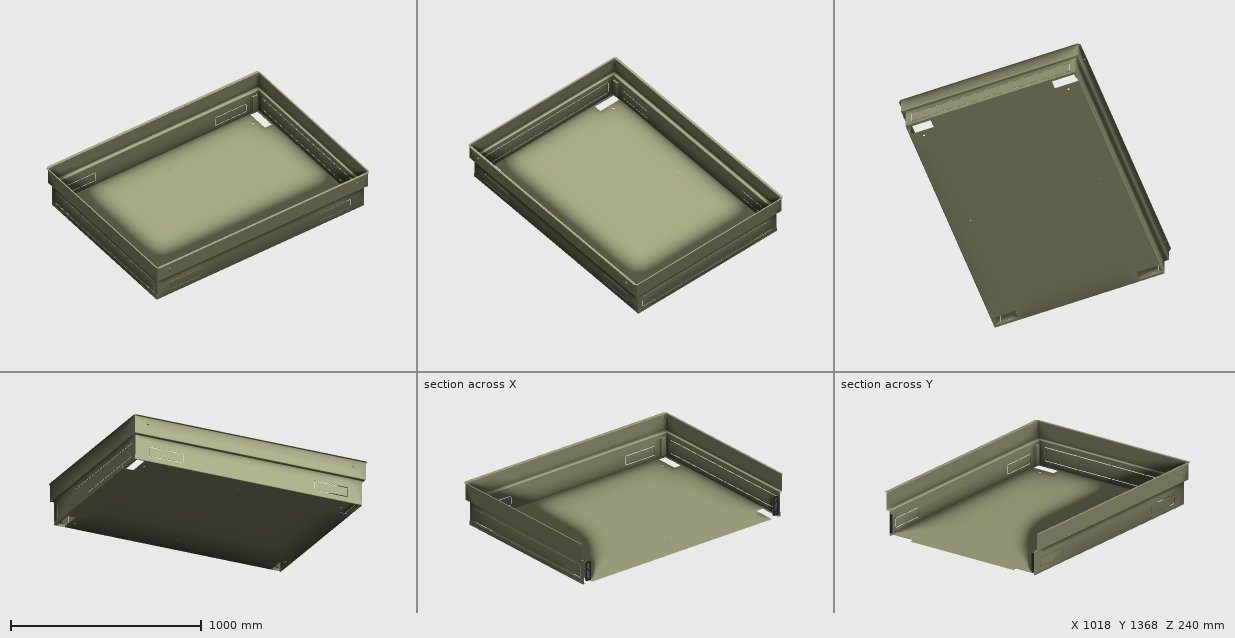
import cadquery as cq
SHEET = 1.9
INNER_BEND = 2.0
OUTER_BEND = INNER_BEND + SHEET
HEIGHT = 240.0
RIM_X, RIM_Y = 509.0, 684.0
UPPER_X, UPPER_Y = 496.0, 677.0
LOWER_X, LOWER_Y = 476.0, 663.0
SHELF_Z = 140.0
RIM_CORNER = 11.6

UPPER_IN_X, UPPER_IN_Y = UPPER_X - SHEET, UPPER_Y - SHEET
LOWER_IN_X, LOWER_IN_Y = LOWER_X - SHEET, LOWER_Y - SHEET

LIP_HEIGHT = 25.0
LIP_WINDOW_IN, LIP_WINDOW_OUT = 324.0, 465.0
LIP_WINDOW_BOTTOM, LIP_WINDOW_TOP = 7.0, 20.0

CORNER_OPENING_IN_X, CORNER_OPENING_OUT_X = 339.0, 470.0
CORNER_OPENING_IN_Y, CORNER_OPENING_OUT_Y = 606.0, 651.0
MOUNT_HOLE_D, MOUNT_HOLE_X, MOUNT_HOLE_Y = 11.0, 405.0, 576.0
SMALL_HOLE_D, FLOOR_SMALL_HOLE_X, WALL_SMALL_HOLE_Z = 5.0, 362.0, 115.0

SLIT = 4.0
BRIDGE = 5.0
KNOCKOUT_BOTTOM = 29.4
SIDE_KNOCKOUT_LENGTH, SIDE_KNOCKOUT_HEIGHT, SIDE_KNOCKOUT_Y = 201.0, 56.0, 483.0
END_KNOCKOUT_LENGTH, END_KNOCKOUT_HEIGHT = 886.0, 79.0
SIDE_KNOCKOUT_SLITS, END_KNOCKOUT_SLITS = 2, 4

HAT_BOTTOM, HAT_TOP = 18.0, 122.0
HAT_FACE_X, HAT_BACK_X = 461.0, 469.0
HAT_IN_Y, HAT_OUT_Y = 617.0, 647.0
HAT_LEG = 4.0
HAT_END_Y = 607.0

TAB_HEIGHT = 16.0
TAB_END_Y = 666.0
TAB_BOTTOMS = (152.0, 212.0)

STUD_Y, STUD_Z = 602.0, 200.0
STUD_HEAD_D, STUD_NECK_D, STUD_HEAD_THICKNESS = 11.0, 7.0, 3.0


def span_box(x, y, z):
    """Box between two limits along each axis."""
    return cq.Workplane("XY").box(x[1] - x[0], y[1] - y[0], z[1] - z[0], centered=False).translate(
        (x[0], y[0], z[0])
    )


def mirrored(shape, plane):
    """Shape together with its mirror image."""
    return shape.union(shape.mirror(plane))


def four_corners(shape):
    """Shape repeated at all four corners of the tray."""
    return mirrored(mirrored(shape, "YZ"), "XZ")


def round_bends(sheet, direction, inner_points, outer_points):
    """Round the bend lines nearest to the given points."""
    for radius, points in ((INNER_BEND, inner_points), (OUTER_BEND, outer_points)):
        for point in points:
            bend = cq.selectors.NearestToPointSelector(point)
            sheet = sheet.edges(direction).edges(bend).fillet(radius)
    return sheet


def knockout_slits(length, height, slits_per_side, depth):
    """Straight slits around a rectangle in the XY plane, with bridges between them and at the corners."""
    pitch = length / slits_per_side
    slits = cq.Workplane("XY")
    for y in (SLIT / 2 - height / 2, height / 2 - SLIT / 2):
        for i in range(slits_per_side):
            x = (i + 0.5) * pitch - length / 2
            slit = cq.Workplane("XY").box(pitch - BRIDGE, SLIT, depth)
            slits = slits.union(slit.translate((x, y, 0)))
    end_slit_length = height - 2 * SLIT - BRIDGE
    for x in (SLIT / 2 - length / 2, length / 2 - SLIT / 2):
        slit = cq.Workplane("XY").box(SLIT, end_slit_length, depth)
        slits = slits.union(slit.translate((x, 0, 0)))
    return slits


def make_tray():
    """Floor, long sides with shelf and rim, and the two end lips."""
    right_outline = [
        (LOWER_X, 0),
        (LOWER_X, SHELF_Z),
        (UPPER_X, SHELF_Z),
        (UPPER_X, HEIGHT - SHEET),
        (RIM_X, HEIGHT - SHEET),
        (RIM_X, HEIGHT),
        (UPPER_IN_X, HEIGHT),
        (UPPER_IN_X, SHELF_Z + SHEET),
        (LOWER_IN_X, SHELF_Z + SHEET),
        (LOWER_IN_X, SHEET),
    ]
    left_outline = [(-x, z) for x, z in reversed(right_outline)]
    tray = cq.Workplane("XZ").polyline(right_outline + left_outline).close().extrude(UPPER_IN_Y, both=True)

    inner_bends = []
    outer_bends = []
    for side in (-1, 1):
        inner_bends += [
            (side * UPPER_X, 0, HEIGHT - SHEET),
            (side * UPPER_IN_X, 0, SHELF_Z + SHEET),
            (side * LOWER_X, 0, SHELF_Z),
            (side * LOWER_IN_X, 0, SHEET),
        ]
        outer_bends += [
            (side * UPPER_IN_X, 0, HEIGHT),
            (side * UPPER_X, 0, SHELF_Z),
            (side * LOWER_IN_X, 0, SHELF_Z + SHEET),
            (side * LOWER_X, 0, 0),
        ]
    tray = round_bends(tray, "|Y", inner_bends, outer_bends)

    beyond_panel = span_box((-LOWER_X, LOWER_X), (LOWER_IN_Y, RIM_Y), (0, SHELF_Z + SHEET))
    tray = tray.cut(mirrored(beyond_panel, "XZ"))
    rim = span_box((UPPER_X, RIM_X), (-RIM_Y, RIM_Y), (HEIGHT - SHEET, HEIGHT))
    rim_corner = cq.Workplane("XY").polyline(
        [(RIM_X, RIM_Y), (RIM_X - RIM_CORNER, RIM_Y), (RIM_X, RIM_Y - RIM_CORNER)]
    )
    rim_corner = rim_corner.close().extrude(SHEET).translate((0, 0, HEIGHT - SHEET))
    tray = tray.union(mirrored(rim, "YZ")).cut(four_corners(rim_corner))

    lip_y = LOWER_Y + SHEET
    lip = span_box((-LOWER_X, LOWER_X), (LOWER_Y, lip_y), (0, LIP_HEIGHT))
    lip = lip.union(span_box((-LOWER_X, LOWER_X), (LOWER_IN_Y, LOWER_Y), (0, SHEET)))
    window = span_box(
        (LIP_WINDOW_IN, LIP_WINDOW_OUT), (LOWER_Y, lip_y), (LIP_WINDOW_BOTTOM, LIP_WINDOW_TOP)
    )
    lip = lip.cut(mirrored(window, "YZ"))
    tray = tray.union(mirrored(lip, "XZ"))

    opening = span_box(
        (CORNER_OPENING_IN_X, CORNER_OPENING_OUT_X),
        (CORNER_OPENING_IN_Y, CORNER_OPENING_OUT_Y),
        (0, SHEET),
    )
    tray = tray.cut(four_corners(opening))
    mount_holes = cq.Workplane("XY").rect(2 * MOUNT_HOLE_X, 2 * MOUNT_HOLE_Y, forConstruction=True)
    tray = tray.cut(mount_holes.vertices().circle(MOUNT_HOLE_D / 2).extrude(SHEET))
    small_holes = cq.Workplane("XY").pushPoints([(-FLOOR_SMALL_HOLE_X, 0), (FLOOR_SMALL_HOLE_X, 0)])
    tray = tray.cut(small_holes.circle(SMALL_HOLE_D / 2).extrude(SHEET))

    wall_holes = cq.Workplane("YZ").center(0, WALL_SMALL_HOLE_Z).circle(SMALL_HOLE_D / 2)
    tray = tray.cut(wall_holes.extrude(LOWER_X, both=True))
    stud_holes = cq.Workplane("YZ").pushPoints([(-STUD_Y, STUD_Z), (STUD_Y, STUD_Z)])
    tray = tray.cut(stud_holes.circle(STUD_NECK_D / 2).extrude(UPPER_X, both=True))
    slits = knockout_slits(SIDE_KNOCKOUT_LENGTH, SIDE_KNOCKOUT_HEIGHT, SIDE_KNOCKOUT_SLITS, 2 * SHEET)
    slits = slits.rotate((0, 0, 0), (1, 0, 0), 90).rotate((0, 0, 0), (0, 0, 1), 90)
    slits = slits.translate((LOWER_X, SIDE_KNOCKOUT_Y, KNOCKOUT_BOTTOM + SIDE_KNOCKOUT_HEIGHT / 2))
    return tray.cut(four_corners(slits))


def make_hat_flange():
    """Flange along the inside of the side wall, with a raised thick web in its middle."""
    outline = [
        (LOWER_IN_X, LOWER_IN_Y),
        (LOWER_IN_X, HAT_OUT_Y - HAT_LEG),
        (HAT_BACK_X, HAT_OUT_Y - HAT_LEG),
        (HAT_BACK_X, HAT_IN_Y + HAT_LEG),
        (LOWER_IN_X, HAT_IN_Y + HAT_LEG),
        (LOWER_IN_X, HAT_END_Y),
        (LOWER_IN_X - SHEET, HAT_END_Y),
        (LOWER_IN_X - SHEET, HAT_IN_Y),
        (HAT_FACE_X, HAT_IN_Y),
        (HAT_FACE_X, HAT_OUT_Y),
        (LOWER_IN_X - SHEET, HAT_OUT_Y),
        (LOWER_IN_X - SHEET, LOWER_IN_Y),
    ]
    flange = cq.Workplane("XY").polyline(outline).close().extrude(HAT_TOP - HAT_BOTTOM)
    return flange.translate((0, 0, HAT_BOTTOM))


def make_back_panel():
    """End panel at +Y: rim strip, upper wall, shelf, lower wall, side flanges and tabs."""
    outline = [
        (LOWER_Y, SHEET),
        (LOWER_Y, SHELF_Z),
        (UPPER_Y, SHELF_Z),
        (UPPER_Y, HEIGHT - SHEET),
        (RIM_Y, HEIGHT - SHEET),
        (RIM_Y, HEIGHT),
        (UPPER_IN_Y, HEIGHT),
        (UPPER_IN_Y, SHELF_Z + SHEET),
        (LOWER_IN_Y, SHELF_Z + SHEET),
        (LOWER_IN_Y, SHEET),
    ]
    panel = cq.Workplane("YZ").polyline(outline).close().extrude(UPPER_X, both=True)
    inner_bends = [(0, UPPER_Y, HEIGHT - SHEET), (0, UPPER_IN_Y, SHELF_Z + SHEET), (0, LOWER_Y, SHELF_Z)]
    outer_bends = [(0, UPPER_IN_Y, HEIGHT), (0, UPPER_Y, SHELF_Z), (0, LOWER_IN_Y, SHELF_Z + SHEET)]
    panel = round_bends(panel, "|X", inner_bends, outer_bends)

    beyond_sides = span_box((LOWER_X, RIM_X), (LOWER_IN_Y, UPPER_IN_Y), (0, SHELF_Z + OUTER_BEND))
    panel = panel.cut(mirrored(beyond_sides, "YZ"))

    slits = knockout_slits(END_KNOCKOUT_LENGTH, END_KNOCKOUT_HEIGHT, END_KNOCKOUT_SLITS, 2 * SHEET)
    slits = slits.rotate((0, 0, 0), (1, 0, 0), 90)
    panel = panel.cut(slits.translate((0, LOWER_Y, KNOCKOUT_BOTTOM + END_KNOCKOUT_HEIGHT / 2)))

    panel = panel.union(mirrored(make_hat_flange(), "YZ"))
    for bottom in TAB_BOTTOMS:
        tab_x = (UPPER_IN_X - SHEET, UPPER_IN_X)
        tab = span_box(tab_x, (TAB_END_Y, UPPER_IN_Y), (bottom, bottom + TAB_HEIGHT))
        panel = panel.union(mirrored(tab, "YZ"))
    return panel


def make_stud(side, y):
    """Headed stud through the upper wall on one side."""
    neck_length = RIM_X - STUD_HEAD_THICKNESS - UPPER_IN_X
    stud = cq.Workplane("YZ").workplane(offset=UPPER_IN_X).center(y, STUD_Z).circle(STUD_NECK_D / 2)
    stud = stud.extrude(neck_length).faces(">X").workplane().circle(STUD_HEAD_D / 2)
    stud = stud.extrude(STUD_HEAD_THICKNESS)
    return stud if side > 0 else stud.mirror("YZ")


tray = make_tray()
back_panel = make_back_panel()
front_panel = back_panel.mirror("XZ")
studs = [make_stud(side, y) for side in (-1, 1) for y in (-STUD_Y, STUD_Y)]

result = cq.Compound.makeCompound(
    [tray.val(), back_panel.val(), front_panel.val(), *[stud.val() for stud in studs]]
)